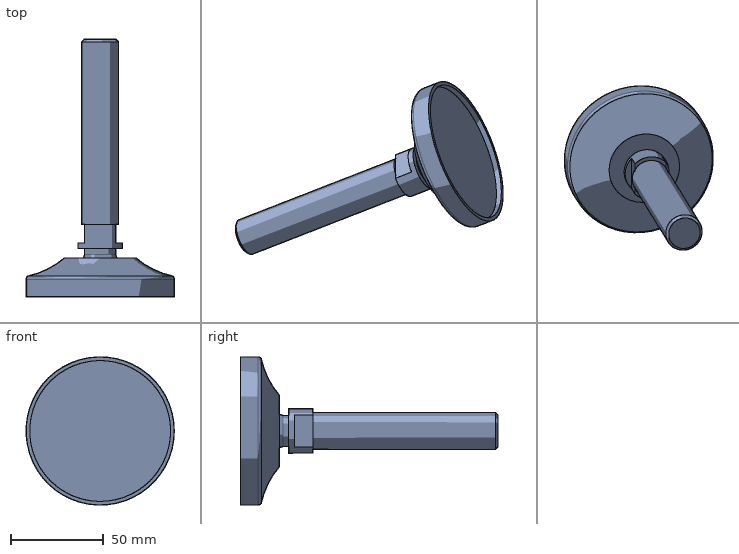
import cadquery as cq

total_height = 139.0

pad_radius = 80.0 / 2
rim_height = 9.5
shoulder_radius = 39.0
shoulder_height = 11.3
pad_top_radius = 19.3
pad_top_height = 21.0
flank_mid_radius = 27.8
flank_mid_height = 15.3
recess_radius = 76.0 / 2
recess_depth = 3.0

neck_radius = 17.0 / 2
neck_foot_radius = 9.0
neck_foot_height = 23.0
collar_radius = 24.0 / 2
collar_bottom = 26.0
collar_top = 39.0
flats_bottom = 29.0
across_flats = 17.0
rod_radius = 20.0 / 2
rod_chamfer = 1.4


def cylinder(radius, bottom, top):
    """Solid cylinder on the Y axis between two heights."""
    plane = cq.Workplane("XZ", origin=(0, bottom, 0))
    return plane.circle(radius).extrude(bottom - top)


def make_pad():
    """Round pad with a concave flank, a rounded rim and a recessed underside."""
    profile = (
        cq.Workplane("XY")
        .lineTo(pad_radius, 0)
        .lineTo(pad_radius, rim_height)
        .tangentArcPoint((shoulder_radius, shoulder_height), relative=False)
        .threePointArc((flank_mid_radius, flank_mid_height), (pad_top_radius, pad_top_height))
        .lineTo(0, pad_top_height)
        .close()
    )
    pad = profile.revolve(360, (0, 0, 0), (0, 1, 0))
    return pad.cut(cylinder(recess_radius, 0, recess_depth))


def make_neck():
    """Neck with a flared foot standing on the pad."""
    profile = (
        cq.Workplane("XY")
        .moveTo(0, pad_top_height)
        .lineTo(neck_foot_radius, pad_top_height)
        .lineTo(neck_radius, neck_foot_height)
        .lineTo(neck_radius, collar_bottom)
        .lineTo(0, collar_bottom)
        .close()
    )
    return profile.revolve(360, (0, 0, 0), (0, 1, 0))


def make_collar():
    """Round collar with two wrench flats facing -X and +X."""
    flange = cylinder(collar_radius, collar_bottom, flats_bottom)
    grip = cylinder(collar_radius, flats_bottom, collar_top)
    flats = cq.Workplane("XY").box(
        across_flats, collar_top - flats_bottom, 2 * collar_radius, centered=(True, False, True)
    )
    return flange.union(grip.intersect(flats.translate((0, flats_bottom, 0))))


def make_rod():
    """Plain rod with a chamfered free end."""
    return cylinder(rod_radius, collar_top, total_height).faces(">Y").chamfer(rod_chamfer)


result = make_pad().union(make_neck()).union(make_collar()).union(make_rod())